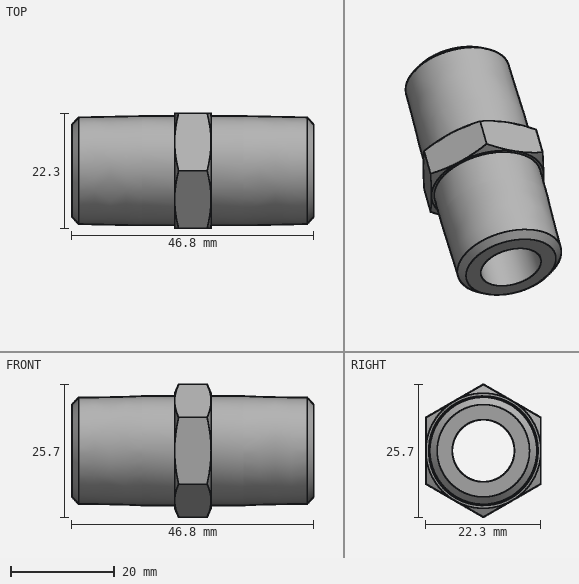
import cadquery as cq
import math

length = 46.75
bore_diameter = 11.95
body_diameter = 21.15
thread_length = 13.55
thread_tip_diameter = 20.65
end_chamfer_length = 1.3
end_face_diameter = 17.85

hex_across_flats = 22.25
hex_width = 7.0
hex_chamfer_length = 0.75

half_length = length / 2
hex_corner_diameter = hex_across_flats / math.cos(math.radians(30))


def revolved_about_x(half_profile):
    """Revolve (x, radius) points, mirrored about x = 0, around the X axis."""
    mirrored = [(-x, radius) for x, radius in reversed(half_profile)]
    outline = mirrored + half_profile
    outline += [(half_profile[-1][0], 0), (-half_profile[-1][0], 0)]
    return cq.Workplane("XY").polyline(outline).close().revolve(360, (0, 0, 0), (1, 0, 0))


def threaded_body():
    return revolved_about_x([
        (half_length - thread_length, body_diameter / 2),
        (half_length - end_chamfer_length, thread_tip_diameter / 2),
        (half_length, end_face_diameter / 2),
    ])


def wrench_collar():
    prism = (
        cq.Workplane("YZ")
        .polygon(6, hex_corner_diameter)
        .extrude(hex_width / 2, both=True)
        .rotate((0, 0, 0), (1, 0, 0), 90)
    )
    chamfer_envelope = revolved_about_x([
        (hex_width / 2 - hex_chamfer_length, hex_corner_diameter / 2),
        (hex_width / 2, hex_across_flats / 2),
    ])
    return prism.intersect(chamfer_envelope)


def through_bore():
    return cq.Workplane("YZ").circle(bore_diameter / 2).extrude(half_length, both=True)


result = threaded_body().union(wrench_collar()).cut(through_bore())